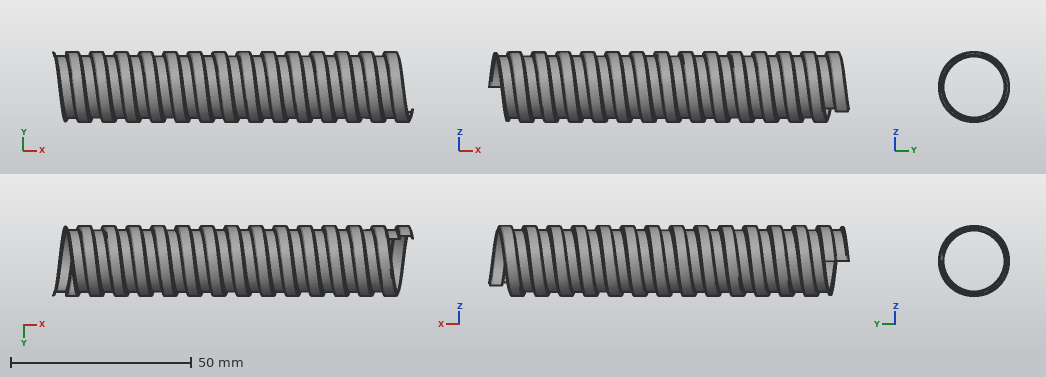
import cadquery as cq
import math


LENGTH = 100.0
OUTER_DIAMETER = 19.6
INNER_DIAMETER = 16.9
THICKNESS = 0.18
STRIP_WIDTH = 7.4
PITCH = 6.797
BEND_RADIUS = 0.22

LIP_WALL = 0.33
STEP_WALL = STRIP_WIDTH / 2

inner_band = (INNER_DIAMETER + THICKNESS) / 2
outer_band = (OUTER_DIAMETER - THICKNESS) / 2
leading_lip = outer_band - THICKNESS
trailing_lip = inner_band + THICKNESS

half_thickness = THICKNESS / 2
trailing_wall = STRIP_WIDTH - LIP_WALL
wound_length = LENGTH - STRIP_WIDTH

middle_line = [
    (leading_lip, 0),
    (leading_lip, LIP_WALL),
    (inner_band, LIP_WALL),
    (inner_band, STEP_WALL),
    (outer_band, STEP_WALL),
    (outer_band, trailing_wall),
    (trailing_lip, trailing_wall),
    (trailing_lip, STRIP_WIDTH),
]


def direction(start, end):
    """Unit vector from one point to another."""
    length = math.dist(start, end)
    return ((end[0] - start[0]) / length, (end[1] - start[1]) / length)


def shifted(point, vector, distance):
    """Point moved along a vector."""
    return (point[0] + vector[0] * distance, point[1] + vector[1] * distance)


def add_face(outline, corners):
    """Draw one face of the strip, half a thickness to the right of the given middle line.

    Every corner is a right angle and becomes an arc. Radius runs to the right and axial
    position upwards, so the right-hand side faces away from the axis when travelling from
    the leading edge to the trailing edge, and towards the axis on the way back.
    """
    for before, corner, after in zip(corners, corners[1:], corners[2:]):
        arriving = direction(before, corner)
        leaving = direction(corner, after)
        turn = arriving[1] * leaving[0] - arriving[0] * leaving[1]
        inset = turn * half_thickness
        radius = BEND_RADIUS + half_thickness - inset
        face_corner = shifted(shifted(corner, arriving, -inset), leaving, inset)
        arc_start = shifted(face_corner, arriving, -radius)
        arc_end = shifted(face_corner, leaving, radius)
        arc_gap = radius * (1 - math.cos(math.pi / 4))
        arc_middle = shifted(shifted(face_corner, arriving, -arc_gap), leaving, arc_gap)
        outline = outline.lineTo(*arc_start).threePointArc(arc_middle, arc_end)
    return outline


def strip_section():
    """Closed strip outline in the XZ plane: X is the radius, Z the position along the axis."""
    outline = cq.Workplane("XZ").moveTo(leading_lip + half_thickness, 0)
    outline = add_face(outline, middle_line)
    outline = outline.lineTo(trailing_lip + half_thickness, STRIP_WIDTH)
    outline = outline.lineTo(trailing_lip - half_thickness, STRIP_WIDTH)
    outline = add_face(outline, middle_line[::-1])
    return outline.lineTo(leading_lip - half_thickness, 0).close()


def wound_strip():
    """Strip wound about Z, starting on the +X side."""
    path = cq.Wire.makeHelix(PITCH, wound_length, inner_band)
    return strip_section().sweep(cq.Workplane(obj=path), isFrenet=True)


ORIGIN = (0, 0, 0)
DIAGONAL = (1, 1, 1)
THIRD_OF_TURN = 120
result = wound_strip().rotate(ORIGIN, DIAGONAL, THIRD_OF_TURN)